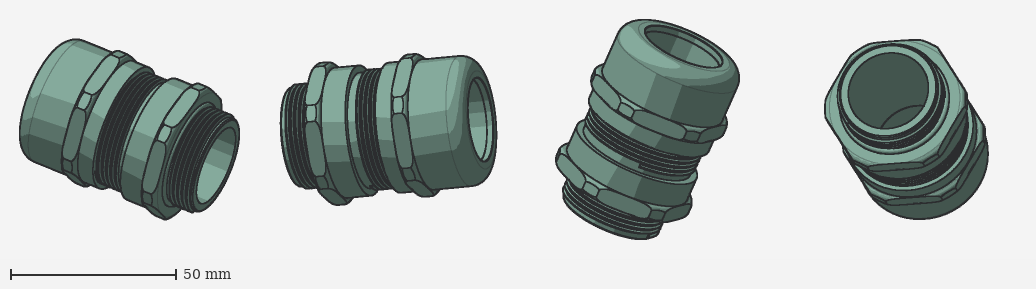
import cadquery as cq
import math

OVERALL_LENGTH = 59.0
LIP_END = 2.05
SEAL_END = 15.95
NUT_HEX_START = 16.9
NUT_END = 27.3
COLLAR_START = 36.8
BODY_HEX_START = 44.5
HEX_LENGTH = 5.2
BODY_HEX_END = BODY_HEX_START + HEX_LENGTH

BARREL_DIAMETER = 39.7
DOME_RADIUS = 4.9
LIP_BORE_DIAMETER = 25.35
MOUTH_CHAMFER = 0.2

HEX_SIDES = 6
HEX_FLATS = 40.1
HEX_CORNER_FLATS = 43.3
HEX_TURNED_DIAMETER = 43.65
HEX_END_ROUNDING = 1.65

SEAL_BORE_DIAMETER = 25.0
BODY_BORE_DIAMETER = 24.8
NECK_DIAMETER = 35.3
STUB_DIAMETER = 30.3
STUB_CHAMFER = 0.4

FIVE_TURN_LENGTH = 7.5
THREAD_PITCH = FIVE_TURN_LENGTH / 5
NECK_THREAD_HEIGHT = 0.7
STUB_THREAD_HEIGHT = 0.8
RIDGE_ROOT_WIDTH = 1.1
RIDGE_CREST_WIDTH = 0.2
RIDGE_SINK = 0.2
NECK_THREAD_START = 25.0
NECK_THREAD_START_ANGLE = 0
NECK_THREAD_TURNS = 6.5
STUB_THREAD_START = 50.85
STUB_THREAD_START_ANGLE = -90
STUB_THREAD_TURNS = 4.6

O_RING_DIAMETER = 33.9
O_RING_SECTION_RADIUS = (O_RING_DIAMETER - STUB_DIAMETER) / 4
O_RING_CENTRE_RADIUS = STUB_DIAMETER / 2 + O_RING_SECTION_RADIUS


def rod(start, end, diameter):
    """Round bar along X between two stations."""
    return cq.Workplane("YZ", origin=(start, 0, 0)).circle(diameter / 2).extrude(end - start)


def hexagon(start):
    """Hexagonal collar with flattened corners and rounded ends."""
    corner_scale = 1 / math.cos(math.pi / HEX_SIDES)
    face = cq.Workplane("YZ", origin=(start, 0, 0))
    prism = face.polygon(HEX_SIDES, HEX_FLATS * corner_scale).extrude(HEX_LENGTH)
    corner_face = face.transformed(rotate=(0, 0, 180 / HEX_SIDES))
    corner_prism = corner_face.polygon(HEX_SIDES, HEX_CORNER_FLATS * corner_scale).extrude(HEX_LENGTH)
    blank = rod(start, start + HEX_LENGTH, HEX_TURNED_DIAMETER).edges().fillet(HEX_END_ROUNDING)
    return prism.intersect(corner_prism).intersect(blank)


def thread_ridge(start, start_angle, turns, core_diameter, height):
    """Right-hand helical ridge that begins start_angle degrees past the top of its core."""
    core_radius = core_diameter / 2
    foot = core_radius - RIDGE_SINK
    flank_run = (RIDGE_ROOT_WIDTH - RIDGE_CREST_WIDTH) / 2
    foot_half_width = RIDGE_ROOT_WIDTH / 2 + flank_run * RIDGE_SINK / height
    crest_half_width = RIDGE_CREST_WIDTH / 2
    crest = core_radius + height
    profile = [
        (-foot_half_width, foot),
        (-crest_half_width, crest),
        (crest_half_width, crest),
        (foot_half_width, foot),
    ]
    helix = cq.Wire.makeHelix(THREAD_PITCH, THREAD_PITCH * turns, core_radius)
    ridge = (
        cq.Workplane("XZ")
        .polyline([(radius, along) for along, radius in profile])
        .close()
        .sweep(cq.Workplane(obj=helix), isFrenet=True)
    )
    along_x = ridge.rotate((0, 0, 0), (0, 1, 0), 90)
    return along_x.rotate((0, 0, 0), (1, 0, 0), 180 + start_angle).translate((start, 0, 0))


def neck_thread():
    return thread_ridge(
        NECK_THREAD_START,
        NECK_THREAD_START_ANGLE,
        NECK_THREAD_TURNS,
        NECK_DIAMETER,
        NECK_THREAD_HEIGHT,
    )


def stub_thread():
    return thread_ridge(
        STUB_THREAD_START,
        STUB_THREAD_START_ANGLE,
        STUB_THREAD_TURNS,
        STUB_DIAMETER,
        STUB_THREAD_HEIGHT,
    )


def make_o_ring():
    """Ring of round section, centred on the end face of the body hexagon."""
    axis = cq.Vector(1, 0, 0)
    return cq.Workplane(
        obj=cq.Solid.makeTorus(
            O_RING_CENTRE_RADIUS, O_RING_SECTION_RADIUS, cq.Vector(BODY_HEX_END, 0, 0), axis
        )
    )


def make_seal():
    """Sealing sleeve between the nut's lip and the end of the gland body."""
    return rod(LIP_END, SEAL_END, NECK_DIAMETER).cut(rod(LIP_END, SEAL_END, SEAL_BORE_DIAMETER))


def make_gland_body(o_ring):
    """Bored body with threaded neck, collar, hexagon and threaded stub."""
    neck = rod(SEAL_END, COLLAR_START, NECK_DIAMETER)
    collar = rod(COLLAR_START, BODY_HEX_START, BARREL_DIAMETER)
    stub = rod(BODY_HEX_END, OVERALL_LENGTH, STUB_DIAMETER).faces(">X").chamfer(STUB_CHAMFER)
    blank = neck.union(collar).union(hexagon(BODY_HEX_START)).union(stub)
    blank = blank.cut(rod(SEAL_END, OVERALL_LENGTH, BODY_BORE_DIAMETER)).cut(o_ring)
    return blank.union(neck_thread()).union(stub_thread())


def make_dome_nut(gland_body):
    """Domed cap with a hexagon, screwed on the neck of the gland body."""
    barrel = rod(0, NUT_END, BARREL_DIAMETER).faces("<X").edges().fillet(DOME_RADIUS)
    nut = barrel.union(hexagon(NUT_HEX_START))
    nut = nut.cut(rod(0, LIP_END, LIP_BORE_DIAMETER)).cut(rod(LIP_END, NUT_END, NECK_DIAMETER))
    nut = nut.faces("<X").edges(cq.selectors.RadiusNthSelector(0)).chamfer(MOUTH_CHAMFER)
    return nut.cut(gland_body)


o_ring = make_o_ring()
seal = make_seal()
gland_body = make_gland_body(o_ring)
dome_nut = make_dome_nut(gland_body)

result = cq.Compound.makeCompound([dome_nut.val(), seal.val(), gland_body.val(), o_ring.val()])